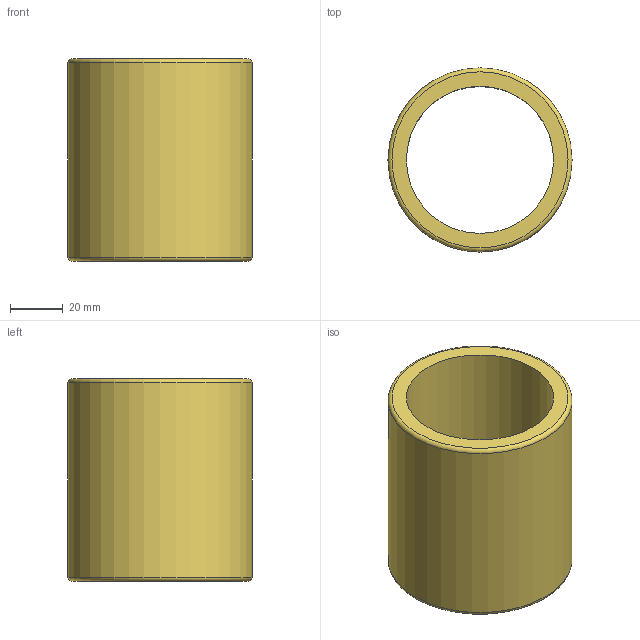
import cadquery as cq

outer_diameter = 70.0
bore_diameter = 56.0
length = 77.0
rim_radius = 1.5


def make_body():
    """Solid cylinder along Z with both outer rims rounded."""
    body = cq.Workplane("XY").circle(outer_diameter / 2).extrude(length)
    return body.faces("<Z or >Z").edges().fillet(rim_radius)


def cut_bore(body):
    """Straight bore through the full length, with sharp edges."""
    return body.faces(">Z").workplane().hole(bore_diameter)


result = cut_bore(make_body())